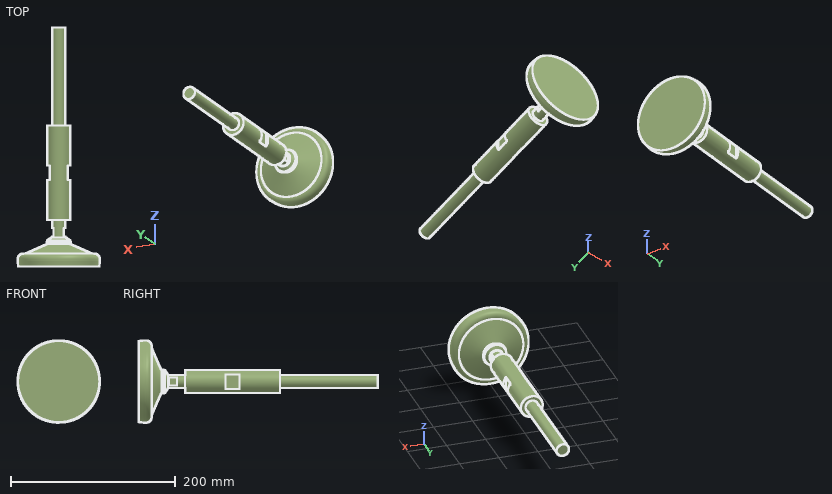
import cadquery as cq
import math

total_length = 290.0
underside_y = -total_length / 2

spindle_diameter = 16.0
spindle_radius = spindle_diameter / 2
spindle_flat_width = 12.8
spindle_flat_length = 10.0
spindle_flat_start = 36.8

sleeve_diameter = 28.0
sleeve_length = 115.0
sleeve_start = 56.3
sleeve_flat_width = 22.0
sleeve_flat_length = 17.5

foot_radius = 100.0 / 2
underside_radius = 49.3
rim_height = 6.5
band_height = 9.0
shoulder_radius = 7.0
shoulder_center_x = foot_radius - shoulder_radius
cone_base_radius = 41.2
cone_base_height = band_height + math.sqrt(
    shoulder_radius**2 - (shoulder_center_x - cone_base_radius) ** 2
)
shoulder_diagonal = shoulder_radius * math.sqrt(0.5)
shoulder_middle = (shoulder_center_x + shoulder_diagonal, band_height + shoulder_diagonal)
collar_radius = sleeve_diameter / 2
cone_top_height = 27.5
bead_height = 29.3
bead_radius = 14.8
bead_top_height = 31.0
collar_top_height = 32.0
neck_height = 35.5
neck_radius = 8.7


def axial_cylinder(diameter, start, length):
    """Cylinder along +Y, starting at a height above the foot's underside."""
    plane = cq.Workplane("XZ", origin=(0, underside_y + start, 0))
    return plane.circle(diameter / 2).extrude(-length)


def cut_wrench_flats(body, diameter, across_flats, start, length):
    """Cut a pair of opposite flats facing -X and +X."""
    depth = (diameter - across_flats) / 2
    middle_y = underside_y + start + length / 2
    for side in (-1, 1):
        cutter = cq.Workplane("XY").box(depth, length, diameter)
        middle_x = side * (across_flats + depth) / 2
        body = body.cut(cutter.translate((middle_x, middle_y, 0)))
    return body


def make_foot_and_spindle():
    """Round foot that carries the long spindle on its collar."""
    foot = (
        cq.Workplane("XY", origin=(0, underside_y, 0))
        .moveTo(0, 0)
        .lineTo(underside_radius, 0)
        .lineTo(foot_radius, rim_height)
        .lineTo(foot_radius, band_height)
        .threePointArc(shoulder_middle, (cone_base_radius, cone_base_height))
        .lineTo(collar_radius, cone_top_height)
        .lineTo(bead_radius, bead_height)
        .lineTo(collar_radius, bead_top_height)
        .lineTo(collar_radius, collar_top_height)
        .lineTo(neck_radius, neck_height)
        .lineTo(spindle_radius, neck_height)
        .lineTo(spindle_radius, total_length)
        .lineTo(0, total_length)
        .close()
        .revolve(360, (0, 0, 0), (0, 1, 0))
    )
    return cut_wrench_flats(
        foot, spindle_diameter, spindle_flat_width, spindle_flat_start, spindle_flat_length
    )


def make_sleeve():
    """Tube around the spindle, with wrench flats at the middle of its length."""
    outside = axial_cylinder(sleeve_diameter, sleeve_start, sleeve_length)
    bore = axial_cylinder(spindle_diameter, sleeve_start, sleeve_length)
    flat_start = sleeve_start + (sleeve_length - sleeve_flat_length) / 2
    return cut_wrench_flats(
        outside.cut(bore), sleeve_diameter, sleeve_flat_width, flat_start, sleeve_flat_length
    )


foot_and_spindle = make_foot_and_spindle()
sleeve = make_sleeve()

result = cq.Compound.makeCompound([foot_and_spindle.val(), sleeve.val()])